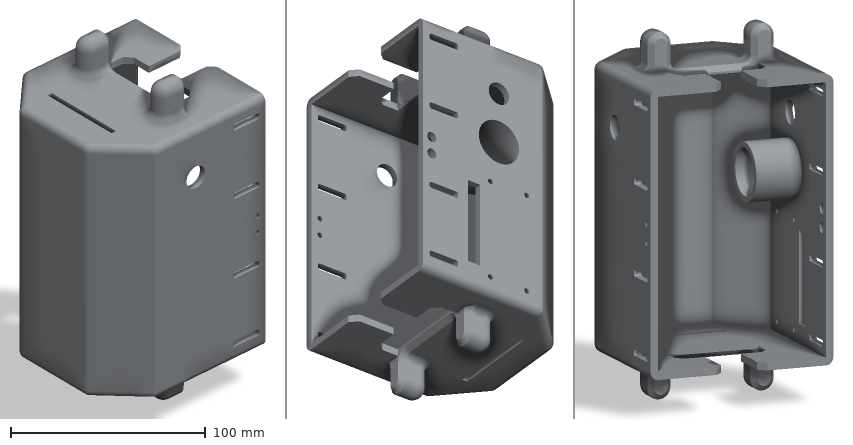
import cadquery as cq
import math

WIDTH = 101.5
DEPTH = 101.5
TOTAL_HEIGHT = 193.0
PIN_HEIGHT = 20.0
BODY_HEIGHT = TOTAL_HEIGHT - 2 * PIN_HEIGHT
WALL = 4.0
CORNER_CUT = 25.3
EDGE_RADIUS = 4.0
BACK_Y = DEPTH / 2
PLATE_TOP = BODY_HEIGHT / 2

NECK_WIDTH = 20.0
NECK_LENGTH = 25.7
HEAD_WIDTH = 51.0
HEAD_FRONT_Y = 11.2
OPENING_CHAMFER = 4.0

PIN_DIAMETER = 12.7
PIN_RADIUS = PIN_DIAMETER / 2
PIN_SPACING = 57.3
PIN_Y = -0.2
PIN_FLARE = 3.7
PIN_BEVEL = 2.9
PIN_XS = (-PIN_SPACING / 2, PIN_SPACING / 2)
RIDGE_MARGIN = 3.9

CARD_SLOT_LENGTH = 49.0
CARD_SLOT_WIDTH = 3.0
CARD_SLOT_Y = -30.7

STRAP_SLOT_LENGTH = 18.1
STRAP_SLOT_WIDTH = 3.7
STRAP_SLOT_CORNER = 1.2
STRAP_SLOT_Y = 37.5
STRAP_SLOT_HEIGHTS = (-65.8, -24.1, 24.1, 65.8)

PEEP_DIAMETER = 13.0
PEEP_Z = 47.1
SOCKET_BORE = 25.5
SOCKET_WALL = 3.0
SOCKET_OUTER = SOCKET_BORE + 2 * SOCKET_WALL
SOCKET_DEPTH = 29.3
SOCKET_Z = 17.8
SOCKET_Y = 2.5
SCREW_ACCESS_DIAMETER = 5.8
SCREW_DIAMETER = 3.0
SCREW_Y = 45.2
SCREW_SPACING = 10.0

WINDOW_WIDTH = 7.7
WINDOW_HEIGHT = 49.0
WINDOW_Y = 18.3
WINDOW_Z = -37.0
MOUNT_DIAMETER = 3.0
MOUNT_SPACING_Y = 23.0
MOUNT_SPACING_Z = 58.0
MOUNT_Y = -3.7
MOUNT_Z = -37.0


def footprint(inset):
    """Outline with two cut front corners, moved inwards by inset except at the back."""
    side = WIDTH / 2 - inset
    front = DEPTH / 2 - inset
    cut = CORNER_CUT - inset * (2 - math.sqrt(2))
    return cq.Workplane("XY").polyline([
        (-side, BACK_Y),
        (-side, cut - front),
        (cut - side, -front),
        (side - cut, -front),
        (side, cut - front),
        (side, BACK_Y),
    ]).close()


def make_block():
    """Solid body with every outer edge rounded except those at the back."""
    block = footprint(0).extrude(BODY_HEIGHT / 2, both=True)
    block = block.edges("|Z and (not >Y)").fillet(EDGE_RADIUS)
    return block.faces(">Z or <Z").edges("not >Y").fillet(EDGE_RADIUS)


def make_opening():
    """T-shaped cutter; its front stops at the bevel, which the pin ridge fills."""
    neck = NECK_WIDTH / 2
    head = HEAD_WIDTH / 2
    shoulder_y = BACK_Y - NECK_LENGTH
    right = [
        (head, HEAD_FRONT_Y - PIN_BEVEL),
        (head, shoulder_y - OPENING_CHAMFER),
        (head - OPENING_CHAMFER, shoulder_y),
        (neck, shoulder_y),
        (neck, BACK_Y - OPENING_CHAMFER),
        (neck + OPENING_CHAMFER, BACK_Y),
    ]
    left = [(-x, y) for x, y in reversed(right)]
    outline = cq.Workplane("XY").polyline(right + left).close()
    return outline.extrude(BODY_HEIGHT / 2, both=True)


def make_pin_front(x):
    """Round pin with a domed end and a flared root, turned about its own axis."""
    dome_z = PIN_HEIGHT - PIN_RADIUS
    slant = math.sqrt(0.5)
    profile = (
        cq.Workplane("XZ")
        .moveTo(0, -WALL)
        .lineTo(PIN_RADIUS + PIN_FLARE, -WALL)
        .lineTo(PIN_RADIUS + PIN_FLARE, 0)
        .radiusArc((PIN_RADIUS, PIN_FLARE), PIN_FLARE)
        .lineTo(PIN_RADIUS, dome_z)
        .threePointArc((PIN_RADIUS * slant, dome_z + PIN_RADIUS * slant), (0, PIN_HEIGHT))
        .close()
    )
    return profile.revolve(360, (0, 0), (0, 1)).translate((x, PIN_Y, PLATE_TOP))


def make_ridge():
    """Straight rear part of both pins and the plate edge between them, bevelled at the back."""
    foot = PIN_RADIUS + PIN_FLARE
    end_x = PIN_SPACING / 2 + foot + RIDGE_MARGIN
    dome_z = PIN_HEIGHT - PIN_RADIUS
    outline = cq.Workplane("XZ", origin=(0, PIN_Y, PLATE_TOP)).moveTo(-end_x, -WALL).lineTo(-end_x, 0)
    for x in PIN_XS:
        outline = (
            outline.lineTo(x - foot, 0)
            .radiusArc((x - PIN_RADIUS, PIN_FLARE), -PIN_FLARE)
            .lineTo(x - PIN_RADIUS, dome_z)
            .threePointArc((x, PIN_HEIGHT), (x + PIN_RADIUS, dome_z))
            .lineTo(x + PIN_RADIUS, PIN_FLARE)
            .radiusArc((x + foot, 0), -PIN_FLARE)
        )
    outline = outline.lineTo(end_x, 0).lineTo(end_x, -WALL).close()
    ridge = outline.extrude(PIN_Y - HEAD_FRONT_Y)
    upper_edges = cq.selectors.BoxSelector(
        (-end_x, HEAD_FRONT_Y - PIN_BEVEL, PLATE_TOP - WALL / 4),
        (end_x, HEAD_FRONT_Y + PIN_BEVEL, PLATE_TOP + PIN_HEIGHT),
    )
    return ridge.edges(upper_edges).chamfer(PIN_BEVEL)


def make_cavity():
    """Inside space, one wall thickness in from the body and open at the back."""
    return footprint(WALL).extrude(PLATE_TOP - WALL, both=True)


def side_plane(x, y, z):
    """Plane facing +X whose local axes are Y and Z."""
    return cq.Workplane("YZ", origin=(x, y, z))


body = make_block().cut(make_opening())
pins = make_ridge()
for pin_x in PIN_XS:
    pins = pins.union(make_pin_front(pin_x))
body = body.union(pins).union(pins.mirror("XY")).cut(make_cavity())

socket = side_plane(-WIDTH / 2, SOCKET_Y, SOCKET_Z)
body = body.union(socket.circle(SOCKET_OUTER / 2).extrude(SOCKET_DEPTH))
body = body.cut(socket.circle(SOCKET_BORE / 2).extrude(SOCKET_DEPTH))

card_slot = cq.Workplane("XY").rect(CARD_SLOT_LENGTH, CARD_SLOT_WIDTH).extrude(TOTAL_HEIGHT, both=True)
body = body.cut(card_slot.translate((0, CARD_SLOT_Y, 0)))

for slot_z in STRAP_SLOT_HEIGHTS:
    strap_slot = cq.Workplane("XY").box(WIDTH, STRAP_SLOT_LENGTH, STRAP_SLOT_WIDTH)
    strap_slot = strap_slot.edges("|X").fillet(STRAP_SLOT_CORNER)
    body = body.cut(strap_slot.translate((0, STRAP_SLOT_Y, slot_z)))
peep = side_plane(0, SOCKET_Y, PEEP_Z).circle(PEEP_DIAMETER / 2)
body = body.cut(peep.extrude(WIDTH / 2, both=True))

screws = side_plane(0, SCREW_Y, 0).rarray(2, SCREW_SPACING, 1, 2)
body = body.cut(screws.circle(SCREW_ACCESS_DIAMETER / 2).extrude(-WIDTH / 2))
body = body.cut(screws.circle(SCREW_DIAMETER / 2).extrude(WIDTH / 2))

left_wall = side_plane(-WIDTH / 2, 0, 0)
window = left_wall.center(WINDOW_Y, WINDOW_Z).rect(WINDOW_WIDTH, WINDOW_HEIGHT)
body = body.cut(window.extrude(WALL))
mounts = side_plane(-WIDTH / 2, MOUNT_Y, MOUNT_Z).rarray(MOUNT_SPACING_Y, MOUNT_SPACING_Z, 2, 2)
body = body.cut(mounts.circle(MOUNT_DIAMETER / 2).extrude(WALL))

result = body